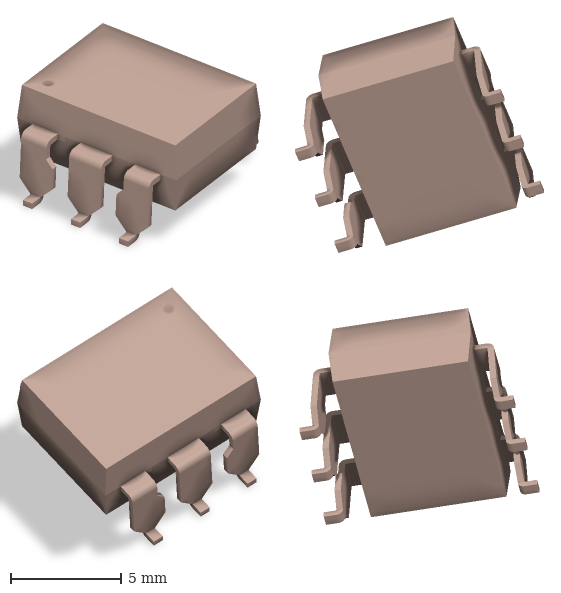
import cadquery as cq
import math

body_length = 8.89
body_width = 6.6
body_bottom = 1.53
parting_height = 3.32
body_top = 5.08
draft_angle = 5.0

lead_pitch = 2.68
lead_thickness = 0.3
lead_width = 1.79
lead_span = 9.9
lead_embed = 0.59
shoulder_reach = 3.85
bend_radius = 0.05
leg_lean = 3.4
instep_radius = 0.05
foot_width = 0.51
taper_top = 0.94

relief_depth = 0.38
relief_bottom = 2.04

dimple_x = -3.44
dimple_y = -2.3
dimple_radius = 0.31
dimple_depth = 0.08

foot_reach = lead_span / 2
taper_run = (lead_width - foot_width) / 2


def half_body(height):
    """Drafted block standing on the parting plane; a negative height hangs it below."""
    return (
        cq.Workplane("XY")
        .workplane(offset=parting_height)
        .rect(body_length, body_width)
        .extrude(height, taper=draft_angle)
    )


def bent_strip():
    """Full-width lead at the +Y side: flat, rounded shoulder, leaning leg and foot."""
    lean = math.radians(leg_lean)
    outer_radius = bend_radius + lead_thickness
    bend_y = shoulder_reach
    bend_z = parting_height - outer_radius
    underside = parting_height - lead_thickness

    def on_bend(radius, angle):
        return (bend_y + radius * math.cos(angle), bend_z + radius * math.sin(angle))

    mid_angle = (lean + math.pi / 2) / 2
    outer_end = on_bend(outer_radius, lean)
    inner_end = on_bend(bend_radius, lean)

    def down_leg(start, height):
        return (start[0] + (start[1] - height) * math.tan(lean), height)

    instep_centre_z = lead_thickness + instep_radius
    instep_tangent = instep_radius * math.tan((math.pi / 2 - lean) / 2)
    instep_corner = down_leg(outer_end, lead_thickness)
    instep_start = down_leg(outer_end, lead_thickness + instep_tangent * math.cos(lean))
    instep_end_y = instep_corner[0] + instep_tangent
    instep_mid_angle = math.pi + mid_angle
    instep_mid = (
        instep_end_y + instep_radius * math.cos(instep_mid_angle),
        instep_centre_z + instep_radius * math.sin(instep_mid_angle),
    )

    heel = down_leg(inner_end, lead_thickness)
    sole = (heel[0] + lead_thickness, 0)
    heel_mid = (
        sole[0] - lead_thickness * math.sin(math.pi / 4),
        lead_thickness * (1 - math.cos(math.pi / 4)),
    )

    embed_y = body_width / 2 - lead_embed
    return (
        cq.Workplane("YZ")
        .moveTo(embed_y, parting_height)
        .lineTo(bend_y, parting_height)
        .threePointArc(on_bend(outer_radius, mid_angle), outer_end)
        .lineTo(*instep_start)
        .threePointArc(instep_mid, (instep_end_y, lead_thickness))
        .lineTo(foot_reach, lead_thickness)
        .lineTo(foot_reach, 0)
        .lineTo(*sole)
        .threePointArc(heel_mid, heel)
        .lineTo(*inner_end)
        .threePointArc(on_bend(bend_radius, mid_angle), (bend_y, underside))
        .lineTo(embed_y, underside)
        .close()
        .extrude(lead_width / 2, both=True)
    )


def lead_outline():
    """Outline of a lead across its width, cut through along Y: leg narrowing to the foot."""
    half_width = lead_width / 2
    half_foot = foot_width / 2
    taper_bottom = taper_top - taper_run
    return (
        cq.Workplane("XZ")
        .polyline([
            (-half_width, parting_height),
            (half_width, parting_height),
            (half_width, taper_top),
            (half_foot, taper_bottom),
            (half_foot, 0),
            (-half_foot, 0),
            (-half_foot, taper_bottom),
            (-half_width, taper_top),
        ])
        .close()
        .extrude(-lead_span)
    )


def edge_relief():
    """Cutter for the +X edge of a lead outside the body, with a 45 degree lower end."""
    outer_x = lead_width / 2
    inner_x = outer_x - relief_depth
    return (
        cq.Workplane("XZ", origin=(0, body_width / 2, 0))
        .polyline([
            (inner_x, parting_height),
            (outer_x, parting_height),
            (outer_x, relief_bottom),
            (inner_x, relief_bottom + relief_depth),
        ])
        .close()
        .extrude(-lead_span)
    )


def dimple():
    """Ball that leaves a shallow spherical pin 1 mark in the top face."""
    ball_radius = (dimple_radius**2 + dimple_depth**2) / (2 * dimple_depth)
    ball_height = body_top - dimple_depth + ball_radius
    return cq.Workplane(origin=(dimple_x, dimple_y, ball_height)).sphere(ball_radius)


middle_lead = bent_strip().intersect(lead_outline())
left_lead = middle_lead.cut(edge_relief()).translate((-lead_pitch, 0, 0))
right_lead = left_lead.mirror("YZ")

result = half_body(body_top - parting_height).union(half_body(body_bottom - parting_height))
for lead in (left_lead, middle_lead, right_lead):
    result = result.union(lead).union(lead.mirror("XZ"))
result = result.cut(dimple())